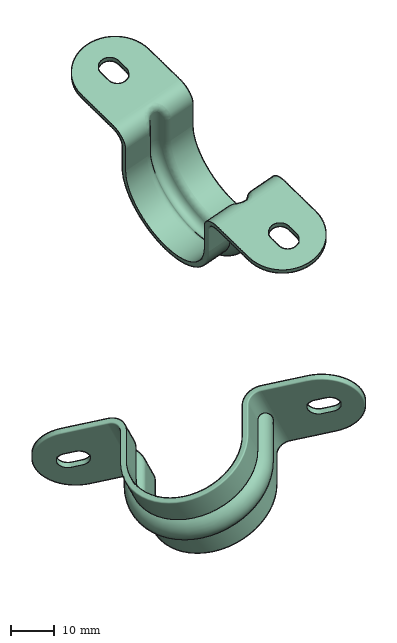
import cadquery as cq

length = 79.5
width = 20.0
thickness = 1.5
outline_fillet = 0.3
inner_radius = 14.0
outer_radius = inner_radius + thickness
saddle_depth = 13.2
bend_inner_radius = 3.0
bend_outer_radius = bend_inner_radius + thickness
bend_x = inner_radius + bend_outer_radius

slot_length = 7.95
slot_width = 5.25
slot_x = 30.3

bead_reach = 17.8
bead_radius = 3.8
channel_radius = 2.0
channel_reach = bead_reach - thickness
channel_edge_fillet = 1.8


def saddle_prism(radius, bend_radius, flange_z):
    """Solid filling the U and its flared mouth, up to flange_z, across the width."""
    return (
        cq.Workplane("XZ")
        .moveTo(-bend_x, flange_z)
        .radiusArc((-radius, flange_z - bend_radius), bend_radius)
        .lineTo(-radius, -saddle_depth)
        .threePointArc((0, -saddle_depth - radius), (radius, -saddle_depth))
        .lineTo(radius, flange_z - bend_radius)
        .radiusArc((bend_x, flange_z), bend_radius)
        .close()
        .extrude(width / 2, both=True)
    )


def u_rod(radius, reach):
    """Round rod bent into a U whose farthest surface is at reach from the saddle axis."""
    path_radius = reach - radius
    path = (
        cq.Workplane("XZ")
        .moveTo(-path_radius, 0)
        .lineTo(-path_radius, -saddle_depth)
        .threePointArc((0, -saddle_depth - path_radius), (path_radius, -saddle_depth))
        .lineTo(path_radius, 0)
    )
    return cq.Workplane("XY").center(-path_radius, 0).circle(radius).sweep(path)


def flange_plate():
    """Flat strip with fully rounded ends, spanning the whole length."""
    return cq.Workplane("XY").slot2D(length, width).extrude(-thickness)


def slots():
    return (
        cq.Workplane("XY")
        .pushPoints([(-slot_x, 0), (slot_x, 0)])
        .slot2D(slot_length, slot_width)
        .extrude(-thickness)
    )


def strap():
    """Bent strap with its underside outline rounded."""
    outer_saddle = saddle_prism(outer_radius, bend_inner_radius, -thickness)
    mouth = saddle_prism(inner_radius, bend_outer_radius, 0)
    blank = flange_plate().union(outer_saddle).cut(mouth)
    flange_middle_x = (bend_x + length / 2 - width / 2) / 2
    start_edge = cq.selectors.NearestToPointSelector((flange_middle_x, -width / 2, -thickness))
    return blank.edges(start_edge).fillet(outline_fillet)


def add_bead(body):
    """Press the bead outward and hollow it from the inner face, easing the channel rim."""
    mouth = saddle_prism(inner_radius, bend_outer_radius, 0)
    bead = u_rod(bead_radius, bead_reach).cut(mouth)
    body = body.union(bead).cut(u_rod(channel_radius, channel_reach))
    rim_point = (inner_radius, channel_radius, -(bend_outer_radius + saddle_depth) / 2)
    return body.edges(cq.selectors.NearestToPointSelector(rim_point)).fillet(channel_edge_fillet)


result = add_bead(strap()).cut(slots())